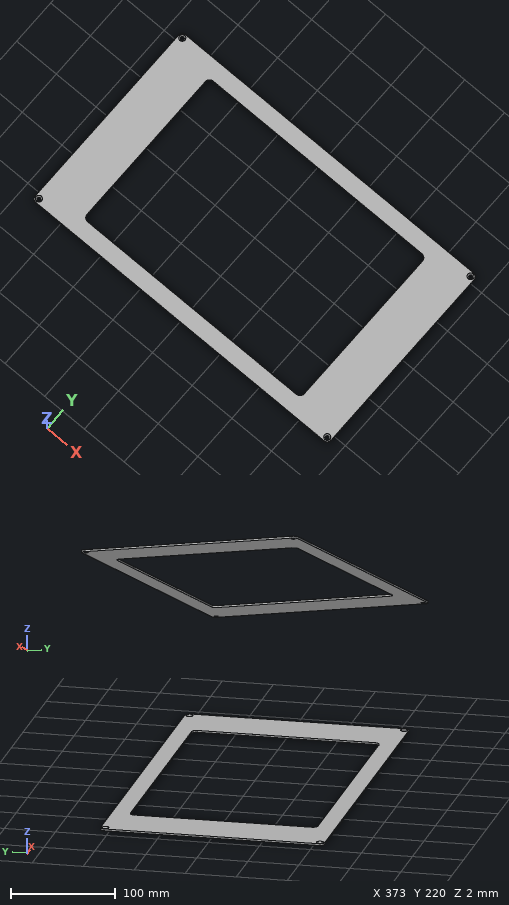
import cadquery as cq

length = 373.0
width = 220.0
thickness = 2.0
corner_radius = 5.0

window_length = 273.0
window_width = 183.5
window_radius = 5.0

hole_inset = 5.0
hole_diameter = 3.5
countersink_diameter = 6.7
countersink_angle = 90.0


def rounded_plate(size_x, size_y, radius):
    """Plate centred on Z, standing on Z = 0, with rounded vertical edges."""
    plate = cq.Workplane("XY").box(size_x, size_y, thickness, centered=(True, True, False))
    return plate.edges("|Z").fillet(radius)


frame = rounded_plate(length, width, corner_radius).cut(
    rounded_plate(window_length, window_width, window_radius)
)

result = (
    frame.faces(">Z")
    .workplane(origin=(0, 0, thickness))
    .rect(length - 2 * hole_inset, width - 2 * hole_inset, forConstruction=True)
    .vertices()
    .cskHole(hole_diameter, countersink_diameter, countersink_angle)
)